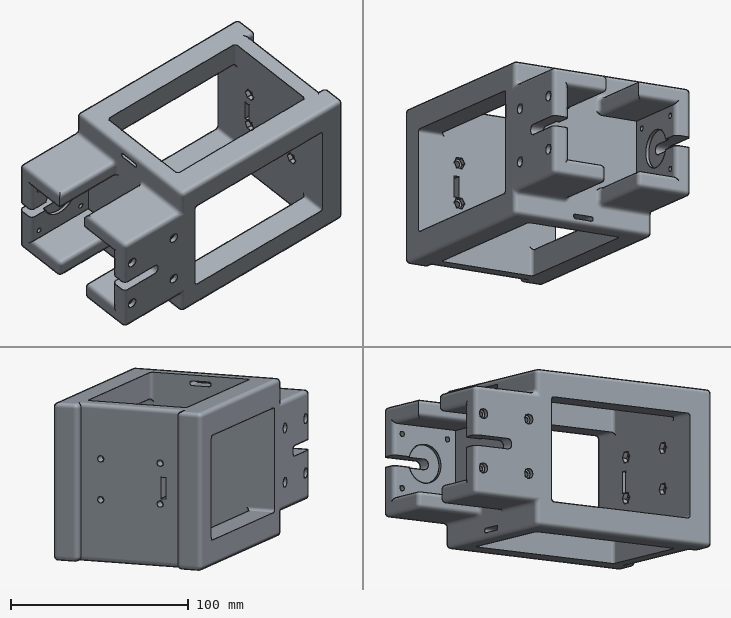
import cadquery as cq
import math

length = 162.5
width = 90.0

frame_front = 42.4
wall = 10.0
edge_radius = wall / 4
window_size = 60.0
window_radius = 2.0
recess_depth = 4.9
recess_floor = length - recess_depth
window_back = recess_floor - wall

arm_height = 62.4
arm_gap = 21.5
cavity_width = width - 2 * wall
cavity_height = arm_height - 2 * wall
wall_inner = cavity_width / 2

motor_y = 21.3
bolt_spacing = 31.0
bolt_diameter = 3.0
bolt_head_diameter = 5.5
bolt_head_depth = 3.0
shaft_slot_width = 6.0
shaft_slot_centre = 22.1
pilot_diameter = 22.1
pilot_depth = 2.0

strap_length = 12.7
strap_width = 2.6
strap_z = 40.3

nut_columns = (-18.0, 18.0)
nut_rows = (-9.3, 14.1)
nut_flats = 6.0
nut_depth = 3.0
nut_hole_diameter = 3.5
back_slot_x = -20.0
back_slot_width = 3.1
back_slot_height = 12.4

tolerance = 0.02


def block(x_size, y_start, y_end, z_size):
    """Box centred on X and Z that spans y_start to y_end."""
    return (
        cq.Workplane("XY")
        .box(x_size, y_end - y_start, z_size)
        .translate((0, (y_start + y_end) / 2, 0))
    )


def cylinder_x(x_start, x_end, y, z, diameter):
    """Cylinder along X between two X positions."""
    return (
        cq.Workplane("YZ", origin=(x_start, y, z))
        .circle(diameter / 2)
        .extrude(x_end - x_start)
    )


def is_at(value, *targets):
    return any(abs(value - target) < tolerance for target in targets)


def middle_of(edge):
    """Middle of an edge as |X|, Y, |Z|."""
    middle = edge.BoundingBox().center
    return abs(middle.x), middle.y, abs(middle.z)


def is_inside_corner(edge):
    """True for edges inside the bracket cavity or along the recess floor."""
    x, y, z = middle_of(edge)
    on_cavity_side = is_at(x, wall_inner)
    on_cavity_roof = is_at(z, cavity_height / 2)
    if is_at(y, frame_front):
        return on_cavity_side or on_cavity_roof
    return (on_cavity_side and on_cavity_roof) or (is_at(y, recess_floor) and is_at(x, window_size / 2))


def is_root(edge):
    """True for edges where the arms meet the front face of the frame."""
    x, y, z = middle_of(edge)
    in_front_corner = frame_front - tolerance < y < frame_front + edge_radius
    return in_front_corner and z < arm_height / 2 + tolerance and not is_inside_corner(edge)


def is_sharp_arm_tip(edge):
    """True for the upright front edges that flank the gap on the upper arms."""
    x, y, z = middle_of(edge)
    return is_at(x, arm_gap / 2) and is_at(y, 0) and edge.Center().z > cavity_height / 2


def plain_body():
    """Frame and bracket without openings, rounded outside and at the arm roots."""
    frame = block(width, frame_front, length, width)
    recess = block(window_size, recess_floor, length, width)
    arms = block(width, 0, frame_front, arm_height)
    cavity = block(cavity_width, 0, frame_front, cavity_height)
    gap = block(arm_gap, 0, frame_front, arm_height)
    body = frame.cut(recess).union(arms.cut(cavity).cut(gap))

    unrounded = (is_inside_corner, is_root, is_sharp_arm_tip)
    outside = [edge for edge in body.edges().vals() if not any(test(edge) for test in unrounded)]
    body = body.newObject(outside).fillet(edge_radius)
    roots = [edge for edge in body.edges().vals() if is_root(edge)]
    return body.newObject(roots).fillet(edge_radius).cut(cavity)


def root_corner_rounding():
    """Tools that carry the rounding of the inner arm edges on along the gap-side roots."""
    axis_x = arm_gap / 2 - edge_radius
    axis_y = frame_front - edge_radius
    bottom = cavity_height / 2
    bend = edge_radius * (2 - math.sqrt(0.5))
    ring = (
        cq.Workplane("XZ", origin=(axis_x, axis_y, bottom))
        .moveTo(edge_radius, 0)
        .lineTo(2 * edge_radius, 0)
        .threePointArc((bend, bend - edge_radius), (edge_radius, edge_radius))
        .close()
        .revolve(360, (0, 0), (0, 1))
    )
    corner = ring.intersect(block(width, axis_y, frame_front, width))
    upper = corner.union(corner.mirror("YZ"))
    return upper.union(upper.mirror("XY"))


def windows():
    """Two crossing through windows, along Z and along X."""
    window = block(window_size, frame_front + wall, window_back, 2 * width)
    window = window.edges("|Z").fillet(window_radius)
    return window.union(window.rotate((0, 0, 0), (0, 1, 0), 90))


def shaft_slot():
    slot = block(width, 0, shaft_slot_centre, shaft_slot_width)
    return slot.union(cylinder_x(-width / 2, width / 2, shaft_slot_centre, 0, shaft_slot_width))


def motor_holes():
    half = width / 2
    pilot_half = wall_inner + pilot_depth
    holes = cylinder_x(-pilot_half, pilot_half, motor_y, 0, pilot_diameter)
    for y in (motor_y - bolt_spacing / 2, motor_y + bolt_spacing / 2):
        for z in (-bolt_spacing / 2, bolt_spacing / 2):
            holes = holes.union(cylinder_x(-half, half, y, z, bolt_diameter))
            for side in (-1, 1):
                head_floor = side * (half - bolt_head_depth)
                holes = holes.union(cylinder_x(head_floor, side * half, y, z, bolt_head_diameter))
    return holes


def strap_slots():
    return (
        cq.Workplane("XZ", origin=(0, frame_front, 0))
        .pushPoints([(0, -strap_z), (0, strap_z)])
        .slot2D(strap_length, strap_width)
        .extrude(-wall)
    )


def back_wall_plane():
    return cq.Workplane("XZ", origin=(0, window_back, 0))


def back_slot():
    return (
        back_wall_plane()
        .center(back_slot_x, 0)
        .rect(back_slot_width, back_slot_height)
        .extrude(-wall)
    )


def nut_pockets():
    centres = [(x, z) for x in nut_columns for z in nut_rows]
    nut_corners = nut_flats / math.cos(math.pi / 6)
    pockets = back_wall_plane().pushPoints(centres).polygon(6, nut_corners).extrude(-nut_depth)
    holes = back_wall_plane().pushPoints(centres).circle(nut_hole_diameter / 2).extrude(-wall)
    return pockets.union(holes)


result = (
    plain_body()
    .cut(root_corner_rounding())
    .cut(windows())
    .cut(shaft_slot())
    .cut(motor_holes())
    .cut(strap_slots())
    .cut(back_slot())
    .cut(nut_pockets())
)